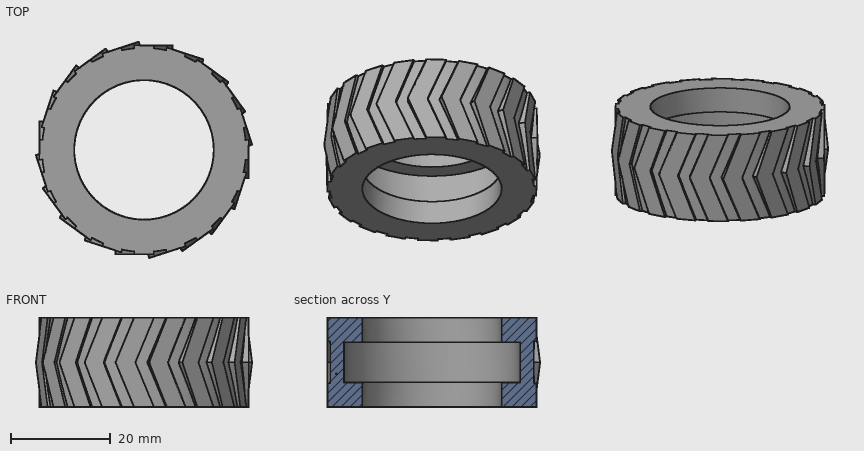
import cadquery as cq
import math

tyre_width = 18.0
body_radius = 20.5

bore_diameter = 28.0
channel_diameter = 35.4
lip_width = 5.0

lug_count = 20
lug_width = 4.0
lug_face_distance = 21.0
lug_root_distance = 19.0
chevron_angle = 22.5

half_width = tyre_width / 2
chevron_shift = half_width * math.tan(math.radians(chevron_angle))


def make_body():
    """Plain ring, with its mid-plane at Z = 0."""
    bottom_plane = cq.Workplane("XY", origin=(0, 0, -half_width))
    return bottom_plane.circle(body_radius).circle(bore_diameter / 2).extrude(tyre_width)


def make_channel():
    """Disc that hollows out the tyre between the two lips."""
    channel_width = tyre_width - 2 * lip_width
    channel_plane = cq.Workplane("XY", origin=(0, 0, -channel_width / 2))
    return channel_plane.circle(channel_diameter / 2).extrude(channel_width)


def make_lug():
    """Chevron lug on the -Y side, pointing towards -X at the mid-plane."""
    left = -lug_width / 2
    right = lug_width / 2
    outline = [
        (left, -half_width),
        (right, -half_width),
        (right - chevron_shift, 0),
        (right, half_width),
        (left, half_width),
        (left - chevron_shift, 0),
    ]
    root_plane = cq.Workplane("XZ", origin=(0, -lug_root_distance, 0))
    return root_plane.polyline(outline).close().extrude(lug_face_distance - lug_root_distance)


def add_tread(body):
    """Fuse the lugs around the body at equal angles."""
    lug = make_lug()
    for index in range(lug_count):
        angle = index * 360 / lug_count
        body = body.union(lug.rotate((0, 0, 0), (0, 0, 1), angle))
    return body


result = add_tread(make_body()).cut(make_channel())